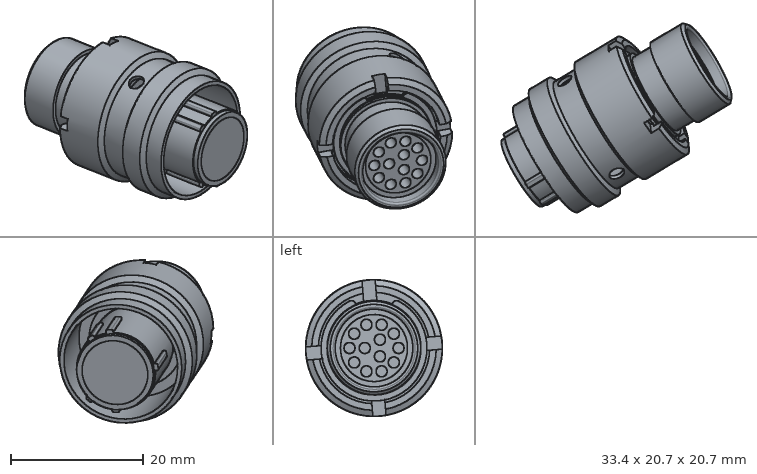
import cadquery as cq
import math

LENGTH = 33.37
CUT_REACH = 26.7

GRIP_RADIUS = 7.07
GRIP_END = 5.97
GRIP_CHAMFER = 0.47
NECK_RADIUS = 6.47
LIP_START = 9.5
LIP_RADIUS = 7.1
COLLAR_RADIUS = 7.2
GROOVE_START = 10.28
GROOVE_RADIUS = 7.0
WAIST_RADIUS = 5.9
NOSE_START = 19.8
NOSE_RADIUS = 6.1
NOSE_END = 32.57
TIP_RADIUS = WAIST_RADIUS
SOCKET_RADIUS = 5.87
SOCKET_DEPTH = 1.87
SOCKET_ROUND = 0.35

KEY_START = 26.15
KEY_RADIUS = 6.57
KEY_WIDTH = 1.15
KEY_ROUND = 0.27
KEY_ANGLES = (9.5, 99.5, 128.0, 229.0, 269.5)

RING_RADIUS = 10.35
RING_BODY_RADIUS = 9.4
RING_START = 9.5
RING_END = 29.05
GRIP_BANDS = ((RING_START, 17.95), (21.82, 26.15))
BAND_CHAMFER_LENGTH = 0.5
RECESS_RADIUS = 8.4
SHOULDER = 10.88
CAVITY_START = GRIP_BANDS[0][1]
CAVITY_RADIUS = 8.78
RING_TURN = -4.6
NOTCH_COUNT = 4
NOTCH_WIDTH = 2.0
NOTCH_END = 11.4
WINDOW_COUNT = 3
WINDOW_DIAMETER = 2.4
WINDOW_STATION = 19.8

CLIP_START = 10.38
CLIP_RADIUS = 8.0
CLIP_GAP_HALF_ANGLE = 22.5
CLIP_END_ROUND = 0.67

INSERT_RADIUS = 5.07
CONTACT_DIAMETER = 1.67
CONTACT_DEPTH = 3.35
OUTER_CONTACT_COUNT = 10
OUTER_CONTACT_RADIUS = 3.7
INNER_CONTACTS = ((1.4, 0.0), (-0.9, 1.27), (-0.9, -1.27))


def revolve_about_x(outline):
    """Solid of revolution from (station, radius) points."""
    return cq.Workplane("XY").polyline(outline).close().revolve(360, (0, 0, 0), (1, 0, 0))


def cylinder(start, end, radius):
    return cq.Workplane("YZ", origin=(start, 0, 0)).circle(radius).extrude(end - start)


def turn_about_x(body, angle):
    return body.rotate((0, 0, 0), (1, 0, 0), angle)


def make_key(angle):
    """Rounded bar along the nose; its root lies inside the nose wall."""
    root_radius = (INSERT_RADIUS + NOSE_RADIUS) / 2
    bar = cq.Workplane("XY").box(
        NOSE_END - KEY_START, KEY_RADIUS - root_radius, KEY_WIDTH, centered=(False, False, True)
    )
    bar = bar.translate((KEY_START, root_radius, 0)).edges("|X and >Y").fillet(KEY_ROUND)
    return turn_about_x(bar, angle)


def make_shell():
    shell = revolve_about_x([
        (0, INSERT_RADIUS),
        (0, GRIP_RADIUS - GRIP_CHAMFER),
        (GRIP_CHAMFER, GRIP_RADIUS),
        (GRIP_END, GRIP_RADIUS),
        (GRIP_END, NECK_RADIUS),
        (LIP_START, NECK_RADIUS),
        (LIP_START, LIP_RADIUS),
        (GROOVE_START, LIP_RADIUS),
        (GROOVE_START, GROOVE_RADIUS),
        (SHOULDER, GROOVE_RADIUS),
        (SHOULDER, COLLAR_RADIUS),
        (CAVITY_START, COLLAR_RADIUS),
        (CAVITY_START, WAIST_RADIUS),
        (NOSE_START, WAIST_RADIUS),
        (NOSE_START, NOSE_RADIUS),
        (NOSE_END, NOSE_RADIUS),
        (NOSE_END, TIP_RADIUS),
        (LENGTH, TIP_RADIUS),
        (LENGTH, INSERT_RADIUS),
    ])
    shell = shell.cut(cylinder(0, SOCKET_DEPTH, SOCKET_RADIUS))
    socket_mouth = cq.selectors.RadiusNthSelector(0)
    shell = shell.faces("<X").edges(socket_mouth).fillet(SOCKET_ROUND)
    for angle in KEY_ANGLES:
        shell = shell.union(make_key(angle))
    return shell


def make_band(start, end):
    """Raised band chamfered down to the ring body at both sides."""
    return revolve_about_x([
        (start, 0),
        (start, RING_BODY_RADIUS),
        (start + BAND_CHAMFER_LENGTH, RING_RADIUS),
        (end - BAND_CHAMFER_LENGTH, RING_RADIUS),
        (end, RING_BODY_RADIUS),
        (end, 0),
    ])


def make_notch(index):
    notch = cq.Workplane("XY").box(
        NOTCH_END - RING_START, CUT_REACH, NOTCH_WIDTH, centered=(False, False, True)
    )
    return turn_about_x(notch.translate((RING_START, 0, 0)), RING_TURN + index * 360 / NOTCH_COUNT)


def make_window(index):
    start = cq.Workplane("XZ", origin=(WINDOW_STATION, 0, 0))
    window = start.circle(WINDOW_DIAMETER / 2).extrude(-CUT_REACH)
    return turn_about_x(window, RING_TURN + index * 360 / WINDOW_COUNT)


def make_coupling_ring():
    ring = cylinder(RING_START, RING_END, RING_BODY_RADIUS)
    for start, end in GRIP_BANDS:
        ring = ring.union(make_band(start, end))
    ring = ring.cut(cylinder(RING_START, SHOULDER, RECESS_RADIUS))
    ring = ring.cut(cylinder(SHOULDER, CAVITY_START, COLLAR_RADIUS))
    ring = ring.cut(cylinder(CAVITY_START, RING_END, CAVITY_RADIUS))
    for index in range(NOTCH_COUNT):
        ring = ring.cut(make_notch(index))
    for index in range(WINDOW_COUNT):
        ring = ring.cut(make_window(index))
    return ring


def make_clip():
    """Open C-shaped clip with its gap toward +Z and rounded outer corners at the gap."""
    width = SHOULDER - CLIP_START
    half_gap = CUT_REACH * math.tan(math.radians(CLIP_GAP_HALF_ANGLE))
    gap = (
        cq.Workplane("YZ", origin=(CLIP_START, 0, 0))
        .polyline([(0, 0), (half_gap, CUT_REACH), (-half_gap, CUT_REACH)])
        .close()
        .extrude(width)
    )
    bore = cylinder(CLIP_START, SHOULDER, GROOVE_RADIUS)
    clip = cylinder(CLIP_START, SHOULDER, CLIP_RADIUS).cut(bore).cut(gap)
    return clip.edges("|X").edges(">Z").fillet(CLIP_END_ROUND)


def contact_points():
    points = list(INNER_CONTACTS)
    for index in range(OUTER_CONTACT_COUNT):
        angle = 2 * math.pi * index / OUTER_CONTACT_COUNT
        points.append((OUTER_CONTACT_RADIUS * math.cos(angle), OUTER_CONTACT_RADIUS * math.sin(angle)))
    return points


def make_insert():
    insert = cylinder(SOCKET_DEPTH, LENGTH, INSERT_RADIUS)
    contact_holes = (
        cq.Workplane("YZ", origin=(SOCKET_DEPTH, 0, 0))
        .pushPoints(contact_points())
        .circle(CONTACT_DIAMETER / 2)
        .extrude(CONTACT_DEPTH)
    )
    return insert.cut(contact_holes)


shell = make_shell()
coupling_ring = make_coupling_ring()
clip = make_clip()
insert = make_insert()

result = cq.Compound.makeCompound([
    shell.val(),
    coupling_ring.val(),
    clip.val(),
    insert.val(),
])